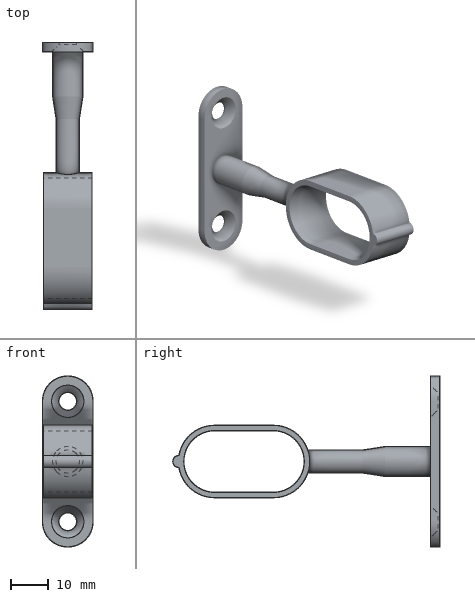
import cadquery as cq

total_length = 71.0
plate_width = 13.5
plate_height = 45.5
plate_thickness = 2.5
screw_spacing = plate_height - plate_width
screw_hole_diameter = 4.7
countersink_diameter = 8.6
countersink_angle = 90.0

thick_stem_diameter = 8.0
thick_stem_length = 12.0
taper_length = 5.95
thin_stem_diameter = 6.2

ring_width = 13.0
ring_height = 19.3
ring_wall = 1.5
ring_length = 34.9
bead_radius = 1.6
bead_overhang = 1.5

plate_back = total_length
plate_front = plate_back - plate_thickness
taper_start = plate_front - thick_stem_length
taper_end = taper_start - taper_length
ring_front = bead_overhang
ring_center = ring_front + ring_length / 2
stem_end = ring_front + ring_length - ring_wall / 2


def round_section(y_start, y_end, start_diameter, end_diameter):
    """Cylinder or cone along Y, running toward the ring."""
    return (
        cq.Workplane("XZ", origin=(0, y_start, 0))
        .circle(start_diameter / 2)
        .workplane(offset=y_start - y_end)
        .circle(end_diameter / 2)
        .loft()
    )


def make_plate():
    plate = (
        cq.Workplane("XZ", origin=(0, plate_back, 0))
        .slot2D(plate_height, plate_width, 90)
        .extrude(plate_thickness)
    )
    return (
        plate.faces("<Y")
        .workplane(origin=(0, plate_front, 0))
        .pushPoints([(0, -screw_spacing / 2), (0, screw_spacing / 2)])
        .cskHole(screw_hole_diameter, countersink_diameter, countersink_angle)
    )


def make_stem():
    thick = round_section(plate_front, taper_start, thick_stem_diameter, thick_stem_diameter)
    taper = round_section(taper_start, taper_end, thick_stem_diameter, thin_stem_diameter)
    thin = round_section(taper_end, stem_end, thin_stem_diameter, thin_stem_diameter)
    return thick.union(taper).union(thin)


def oval(length, height):
    """Flat-sided oval bar across the ring's full width."""
    return (
        cq.Workplane("YZ", origin=(0, ring_center, 0))
        .slot2D(length, height)
        .extrude(ring_width / 2, both=True)
    )


def make_ring():
    bead = (
        cq.Workplane("YZ", origin=(0, bead_radius, 0))
        .circle(bead_radius)
        .extrude(ring_width / 2, both=True)
    )
    opening = oval(ring_length - 2 * ring_wall, ring_height - 2 * ring_wall)
    return oval(ring_length, ring_height).union(bead).cut(opening)


result = make_plate().union(make_stem()).union(make_ring())